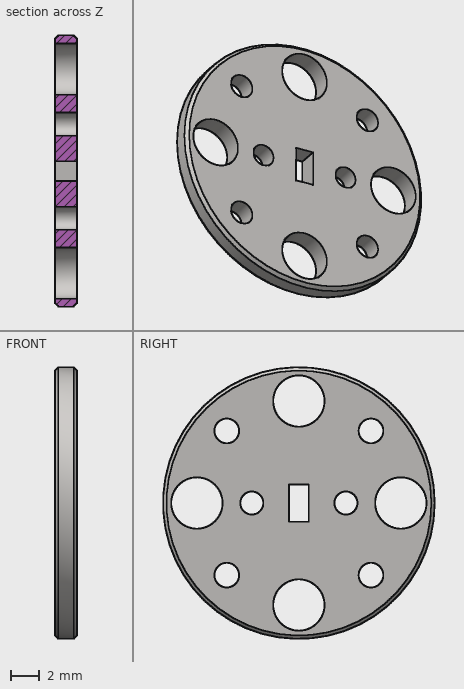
import cadquery as cq

disc_diameter = 19.05
disc_thickness = 1.56
rim_chamfer = 0.25

bolt_circle_radius = 7.15
holes_per_set = 4
large_hole_diameter = 3.58
small_hole_diameter = 1.71
small_hole_start_angle = 45.0

inner_hole_diameter = 1.6
inner_hole_offset = 3.3

slot_width = 1.37
slot_height = 2.6


def face_plane():
    """Plane of the -X face, centred so that the disc straddles X = 0."""
    return cq.Workplane("YZ", origin=(-disc_thickness / 2, 0, 0))


def make_disc():
    """Round disc with both rim edges chamfered."""
    disc = face_plane().circle(disc_diameter / 2).extrude(disc_thickness)
    return disc.edges("%CIRCLE").chamfer(rim_chamfer)


def make_hole_ring(diameter, start_angle):
    """Cutters for one set of evenly spaced through holes on the bolt circle."""
    ring = face_plane().polarArray(bolt_circle_radius, start_angle, 360, holes_per_set)
    return ring.circle(diameter / 2).extrude(disc_thickness)


def make_inner_holes():
    """Cutters for the two through holes beside the slot, spaced along Y."""
    centers = [(side * inner_hole_offset, 0) for side in (-1, 1)]
    return face_plane().pushPoints(centers).circle(inner_hole_diameter / 2).extrude(disc_thickness)


def make_slot():
    """Cutter for the central through slot, long side along Z."""
    return face_plane().rect(slot_width, slot_height).extrude(disc_thickness)


result = (
    make_disc()
    .cut(make_hole_ring(large_hole_diameter, 0))
    .cut(make_hole_ring(small_hole_diameter, small_hole_start_angle))
    .cut(make_inner_holes())
    .cut(make_slot())
)